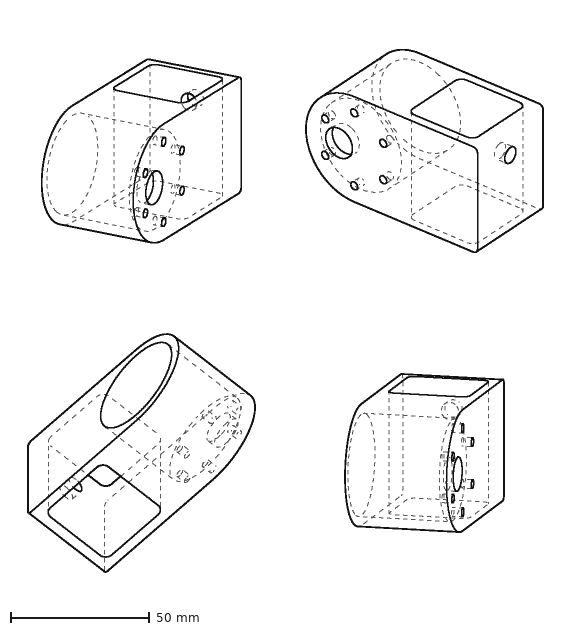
import cadquery as cq

length = 79.4
width = 38.0
height = 44.8
back_edge_radius = 2.0

nose_radius = height / 2
nose_y = nose_radius - length / 2
bore_diameter = 37.4
side_wall = 3.8
bore_depth = width - side_wall

shaft_hole_diameter = 12.4
shaft_offset = 7.0
screw_hole_diameter = 3.2
screw_circle_radius = 15.5
screw_count = 6

socket_size = width - 2 * side_wall
socket_corner_radius = 3.0
back_wall = 4.9
socket_y = length / 2 - back_wall - socket_size / 2
back_hole_diameter = 6.4
back_hole_z = 10.4


def make_body():
    """Block with a half-round nose on -Y and rounded long edges at the back."""
    block_length = length - nose_radius
    block = (
        cq.Workplane("XY")
        .box(width, block_length, height)
        .translate((0, nose_y + block_length / 2, 0))
        .edges("|X and >Y")
        .fillet(back_edge_radius)
    )
    return block.union(cylinder_along_x(nose_radius * 2, width, nose_y))


def cylinder_along_x(diameter, depth, center_y):
    """Cylinder at mid-height that starts on the -X face."""
    return (
        cq.Workplane("YZ", origin=(-width / 2, center_y, 0))
        .circle(diameter / 2)
        .extrude(depth)
    )


def make_screw_holes():
    """Ring of screw holes, with the first one straight above the bore axis."""
    return (
        cq.Workplane("YZ", origin=(-width / 2, nose_y, 0))
        .polarArray(screw_circle_radius, 90, 360, screw_count)
        .circle(screw_hole_diameter / 2)
        .extrude(width)
    )


def make_socket():
    """Square through-pocket along Z with rounded corners."""
    return (
        cq.Workplane("XY")
        .box(socket_size, socket_size, height)
        .edges("|Z")
        .fillet(socket_corner_radius)
        .translate((0, socket_y, 0))
    )


def make_back_hole():
    """Hole along Y, above mid-height, from the socket out through the back wall."""
    return (
        cq.Workplane("XZ", origin=(0, socket_y, back_hole_z))
        .circle(back_hole_diameter / 2)
        .extrude(-(length / 2 - socket_y))
    )


result = (
    make_body()
    .cut(cylinder_along_x(bore_diameter, bore_depth, nose_y))
    .cut(cylinder_along_x(shaft_hole_diameter, width, nose_y - shaft_offset))
    .cut(make_screw_holes())
    .cut(make_socket())
    .cut(make_back_hole())
)